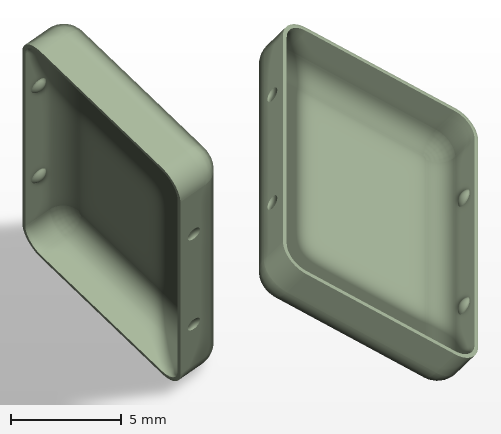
import cadquery as cq
import math

width = 11.0
depth = 2.6
height = 16.0
wall = 0.2

corner_radius = 1.3
edge_radius = 1.15

hollow_diameter = 0.74
bump_diameter = 0.86
dimple_depth = 0.2
dimple_spacing = 7.0
dimple_from_rim = 0.8

rim_y = -depth / 2


def rounded_block(inset):
    """Block open toward the rim, inset from the outer sides and back."""
    length_y = depth - inset
    return (
        cq.Workplane("XY")
        .box(width - 2 * inset, length_y, height - 2 * inset)
        .translate((0, rim_y + length_y / 2, 0))
        .edges("|Y")
        .fillet(corner_radius - inset)
        .faces(">Y")
        .edges()
        .fillet(edge_radius - inset)
    )


def dimple_cap(diameter, side, face_x, z):
    """Spherical cap standing inward from the wall face at face_x."""
    radius = diameter / 2
    sphere_radius = (radius**2 + dimple_depth**2) / (2 * dimple_depth)
    sphere_x = face_x - dimple_depth + sphere_radius
    half_angle = math.asin(radius / sphere_radius) / 2
    mid_point = (
        side * (sphere_x - sphere_radius * math.cos(half_angle)),
        sphere_radius * math.sin(half_angle),
    )
    return (
        cq.Workplane("XY")
        .moveTo(side * face_x, 0)
        .lineTo(side * face_x, radius)
        .threePointArc(mid_point, (side * (face_x - dimple_depth), 0))
        .close()
        .revolve(360, (0, 0, 0), (1, 0, 0))
        .translate((0, rim_y + dimple_from_rim, z))
    )


result = rounded_block(0).cut(rounded_block(wall))

for side in (-1, 1):
    for z in (-dimple_spacing / 2, dimple_spacing / 2):
        bump = dimple_cap(bump_diameter, side, width / 2 - wall, z)
        hollow = dimple_cap(hollow_diameter, side, width / 2, z)
        result = result.union(bump).cut(hollow)